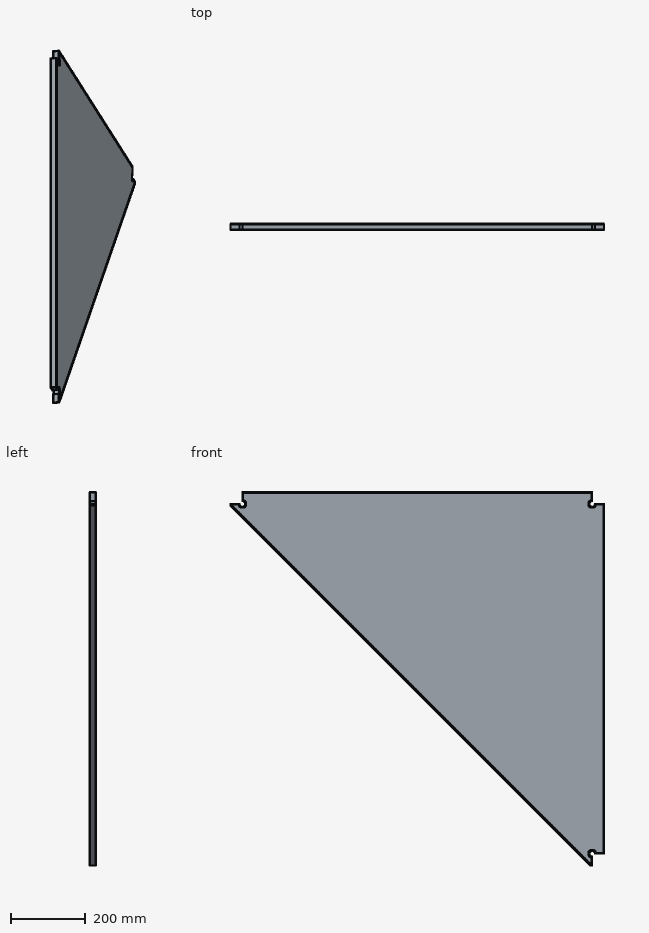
import cadquery as cq

SIDE = 1000.0
THICKNESS = 18.0
NOTCH = 31.8
RELIEF_RADIUS = 8.0
TIP_LAND = 4.0
EDGE_CHAMFER = 2.0

NEAR = NOTCH
FAR = SIDE - NOTCH
TIP = FAR - TIP_LAND

STEP_CORNERS = [(NEAR, FAR), (FAR, FAR), (FAR, NEAR)]


def panel_blank():
    """Right-angled triangular panel with a square step at each corner and blunt tips."""
    outline = [
        (0, TIP),
        (0, FAR),
        (NEAR, FAR),
        (NEAR, SIDE),
        (FAR, SIDE),
        (FAR, FAR),
        (SIDE, FAR),
        (SIDE, NEAR),
        (FAR, NEAR),
        (FAR, 0),
        (TIP, 0),
    ]
    return cq.Workplane("XZ").polyline(outline).close().extrude(-THICKNESS)


def corner_reliefs():
    """Round through-cutters centred on the inner corners of the steps."""
    return cq.Workplane("XZ").pushPoints(STEP_CORNERS).circle(RELIEF_RADIUS).extrude(-THICKNESS)


def bevel_faces(panel):
    """Chamfer every edge around the front and back faces, reliefs included."""
    return panel.faces("<Y or >Y").edges().chamfer(EDGE_CHAMFER)


result = bevel_faces(panel_blank().cut(corner_reliefs()))